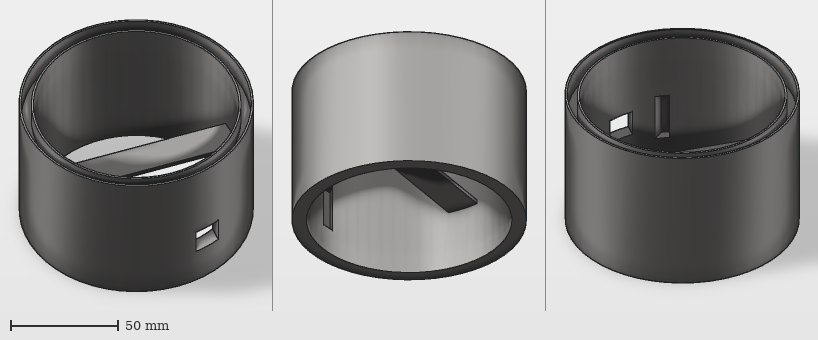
import cadquery as cq

outer_diameter = 109.5
bore_diameter = 96.0
height = 70.0

groove_outer_diameter = 107.5
groove_inner_diameter = 98.0
groove_depth = 11.0
inner_lip_drop = 1.0

bar_width = 15.7
bar_thickness = 2.0
bar_top = 32.3

opening_center_z = 25.3
window_width = 12.5
window_height = 12.7
window_center_y = 16.0
slot_angle = -45.0
slot_width = 5.4
slot_height = 23.7
slot_offset = 30.2
slot_floor_diameter = 105.5


def ring(outer, inner, bottom, length):
    """Tube about Z, starting at the given bottom level."""
    return cq.Workplane("XY").workplane(offset=bottom).circle(outer / 2).circle(inner / 2).extrude(length)


def wall_opening(width, opening_height, center_y):
    """Rectangular cutter running along +X from the axis through the wall."""
    return (
        cq.Workplane("YZ")
        .center(center_y, opening_center_z)
        .rect(width, opening_height)
        .extrude(outer_diameter)
    )


def cross_bar():
    """Bar whose ends follow the curved wall, reaching the groove's inner diameter to join it."""
    blank = (
        cq.Workplane("XY")
        .workplane(offset=bar_top - bar_thickness)
        .rect(bar_width, outer_diameter)
        .extrude(bar_thickness)
    )
    limit = cq.Workplane("XY").circle(groove_inner_diameter / 2).extrude(height)
    return blank.intersect(limit)


body = ring(outer_diameter, bore_diameter, 0, height)
groove = ring(groove_outer_diameter, groove_inner_diameter, height - groove_depth, groove_depth)
window = wall_opening(window_width, window_height, window_center_y)
inner_lip_relief = ring(groove_outer_diameter, bore_diameter, height - inner_lip_drop, inner_lip_drop)
slot_limit = cq.Workplane("XY").circle(slot_floor_diameter / 2).extrude(height)
slot_cutter = wall_opening(slot_width, slot_height, slot_offset).rotate((0, 0, 0), (0, 0, 1), slot_angle)
slot = slot_cutter.intersect(slot_limit)

result = body.cut(groove).cut(inner_lip_relief).cut(window).cut(slot).union(cross_bar())